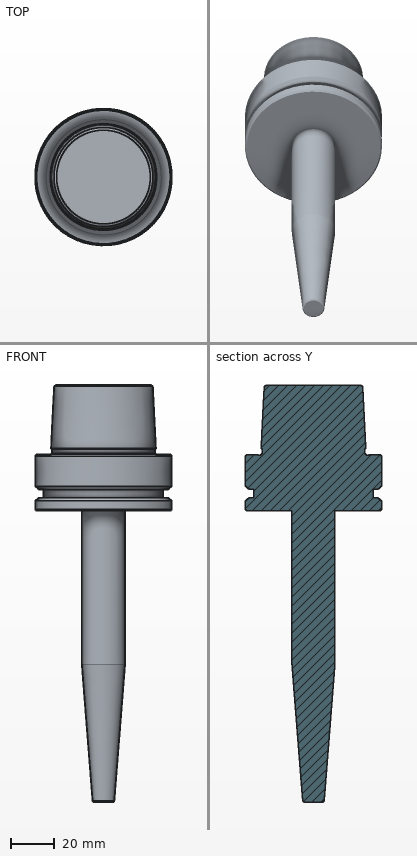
import cadquery as cq
import math


taper_height = 32.0
total_length = 191.9
tip_z = taper_height - total_length

gauge_radius = 24.0
gauge_height = 6.3
taper_slope = 1 / 20
taper_base_z = 2.8
top_chamfer_width = 1.2
top_chamfer_height = 0.7

neck_radius = 23.8
neck_lip_height = 0.4
neck_flare_z = 0.5
neck_foot_radius = 24.5

dish_radius = 26.5
dish_depth = 0.35

flange_radius = 31.5
flange_height = 26.0
flange_chamfer = 0.8

groove_center_z = -18.0
groove_mouth_width = 6.8
groove_floor_width = 3.7
groove_shoulder_radius = 29.6
groove_floor_radius = 27.6

shank_radius = 10.0
nose_radius = 5.0
nose_angle = math.radians(4.5)
nose_chamfer = 0.6
nose_start_z = tip_z + (shank_radius - nose_radius) / math.tan(nose_angle)


def taper_radius(z):
    """Radius of the taper cone at height z."""
    return gauge_radius - (z - gauge_height) * taper_slope


def taper_points():
    """Half profile of the taper, from the top centre down to its base."""
    shoulder_z = taper_height - top_chamfer_height
    shoulder_radius = taper_radius(shoulder_z)
    return [
        (0, taper_height),
        (shoulder_radius - top_chamfer_width, taper_height),
        (shoulder_radius, shoulder_z),
        (taper_radius(taper_base_z), taper_base_z),
    ]


def neck_points():
    """Half profile of the neck and of the dish in the flange face."""
    return [
        (neck_radius, taper_base_z - neck_lip_height),
        (neck_radius, neck_flare_z),
        (neck_foot_radius, -dish_depth),
        (dish_radius, 0),
    ]


def flange_points():
    """Half profile of the flange rim, with the gripper groove."""
    half_mouth = groove_mouth_width / 2
    half_floor = groove_floor_width / 2
    return [
        (flange_radius - flange_chamfer, 0),
        (flange_radius, -flange_chamfer),
        (flange_radius, groove_center_z + half_mouth),
        (groove_shoulder_radius, groove_center_z + half_floor),
        (groove_floor_radius, groove_center_z + half_floor),
        (groove_floor_radius, groove_center_z - half_floor),
        (groove_shoulder_radius, groove_center_z - half_floor),
        (flange_radius, groove_center_z - half_mouth),
        (flange_radius, -flange_height + flange_chamfer),
        (flange_radius - flange_chamfer, -flange_height),
    ]


def shank_points():
    """Half profile of the shank and its tapered nose, down to the tip centre."""
    chamfer_z = tip_z + nose_chamfer
    chamfer_radius = nose_radius + nose_chamfer * math.tan(nose_angle)
    return [
        (shank_radius, -flange_height),
        (shank_radius, nose_start_z),
        (chamfer_radius, chamfer_z),
        (chamfer_radius - nose_chamfer, tip_z),
        (0, tip_z),
    ]


profile = taper_points() + neck_points() + flange_points() + shank_points()
result = cq.Workplane("XZ").polyline(profile).close().revolve(360, (0, 0, 0), (0, 1, 0))